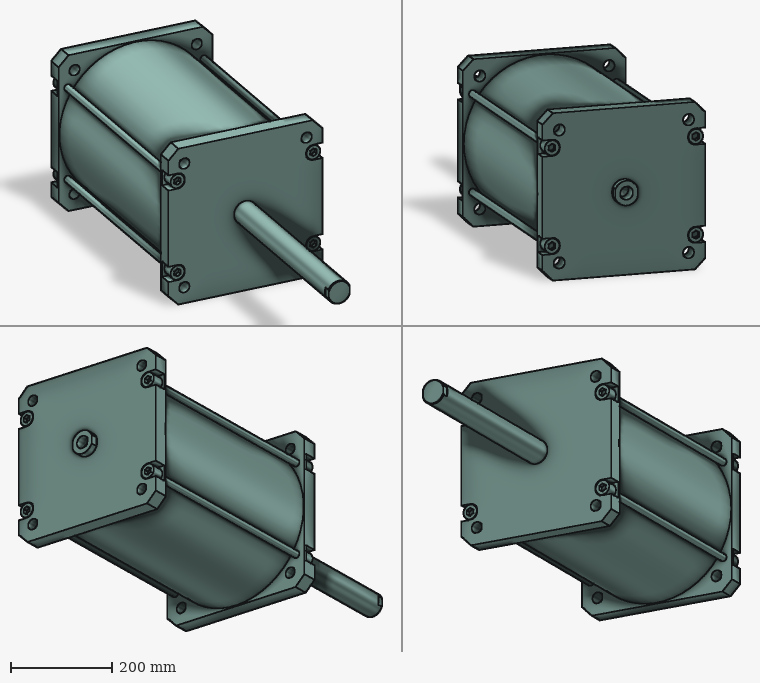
import cadquery as cq
import math

TOTAL_LENGTH = 950.0

PLATE_SIZE = 340.0
PLATE_THICKNESS = 33.0
PLATE_CHAMFER = 22.0
REAR_PLATE_X = 16.0

BARREL_LENGTH = 452.0
BARREL_RADIUS = 168.0

MOUNT_HOLE_DIAMETER = 23.0
MOUNT_HOLE_OFFSET = 135.0

TIE_ROD_Y = 150.0
TIE_ROD_Z = 100.0
TIE_ROD_DIAMETER = 15.0
HEAD_DIAMETER = 30.0
POCKET_WIDTH = 33.0
POCKET_FLOOR = 6.0
SOCKET_FLATS = 14.0
SOCKET_DEPTH = 9.5

ROD_DIAMETER = 50.0
ROD_TIP_CHAMFER = 1.4
FLAT_SPACING = 47.0
FLAT_LENGTH = 14.0
ROD_HOLE_DIAMETER = 27.0
ROD_HOLE_DEPTH = 28.5
DRILL_POINT_ANGLE = 118.0

REAR_PLATE_INNER_X = REAR_PLATE_X + PLATE_THICKNESS
FRONT_PLATE_INNER_X = REAR_PLATE_INNER_X + BARREL_LENGTH
FRONT_PLATE_X = FRONT_PLATE_INNER_X + PLATE_THICKNESS
POCKET_DEPTH = PLATE_THICKNESS - POCKET_FLOOR
MID_X = (REAR_PLATE_X + FRONT_PLATE_X) / 2
TIE_ROD_POSITIONS = [(y, z) for y in (-TIE_ROD_Y, TIE_ROD_Y) for z in (-TIE_ROD_Z, TIE_ROD_Z)]
MOUNT_HOLE_POSITIONS = [
    (y, z)
    for y in (-MOUNT_HOLE_OFFSET, MOUNT_HOLE_OFFSET)
    for z in (-MOUNT_HOLE_OFFSET, MOUNT_HOLE_OFFSET)
]


def section_at(x):
    """Workplane across the axis at x; its local axes are Y and Z."""
    return cq.Workplane("YZ", origin=(x, 0, 0))


def mirror_to_front(body):
    """Mirror a rear-end shape about the middle of the plates."""
    return body.mirror("YZ", (MID_X, 0, 0))


def make_head_pocket(y, z):
    """Round-ended slot that opens at the rear face and at the nearer Y side."""
    side_y = math.copysign(PLATE_SIZE / 2, y)
    round_end = section_at(REAR_PLATE_X).center(y, z).circle(POCKET_WIDTH / 2).extrude(POCKET_DEPTH)
    opening = (
        section_at(REAR_PLATE_X)
        .center((y + side_y) / 2, z)
        .rect(abs(side_y - y), POCKET_WIDTH)
        .extrude(POCKET_DEPTH)
    )
    return round_end.union(opening)


def make_rear_plate():
    """Square plate with chamfered corners, through holes and tie rod head pockets."""
    plate = (
        section_at(REAR_PLATE_X)
        .rect(PLATE_SIZE, PLATE_SIZE)
        .extrude(PLATE_THICKNESS)
        .edges("|X")
        .chamfer(PLATE_CHAMFER)
    )
    plate = plate.cut(section_at(REAR_PLATE_X).circle(ROD_DIAMETER / 2).extrude(PLATE_THICKNESS))
    mount_holes = (
        section_at(REAR_PLATE_X)
        .pushPoints(MOUNT_HOLE_POSITIONS)
        .circle(MOUNT_HOLE_DIAMETER / 2)
        .extrude(PLATE_THICKNESS)
    )
    tie_rod_holes = (
        section_at(REAR_PLATE_X)
        .pushPoints(TIE_ROD_POSITIONS)
        .circle(TIE_ROD_DIAMETER / 2)
        .extrude(PLATE_THICKNESS)
    )
    plate = plate.cut(mount_holes).cut(tie_rod_holes)
    for y, z in TIE_ROD_POSITIONS:
        plate = plate.cut(make_head_pocket(y, z))
    return plate


def make_barrel():
    """Round barrel bored to fit the piston rod."""
    return (
        section_at(REAR_PLATE_INNER_X)
        .circle(BARREL_RADIUS)
        .circle(ROD_DIAMETER / 2)
        .extrude(BARREL_LENGTH)
    )


def make_tie_rod(y, z):
    """Rod with a socketed round head in the pocket of each plate."""
    shank = (
        section_at(REAR_PLATE_X)
        .center(y, z)
        .circle(TIE_ROD_DIAMETER / 2)
        .extrude(FRONT_PLATE_X - REAR_PLATE_X)
    )
    head = section_at(REAR_PLATE_X).center(y, z).circle(HEAD_DIAMETER / 2).extrude(POCKET_DEPTH)
    socket = (
        section_at(REAR_PLATE_X)
        .center(y, z)
        .polygon(6, SOCKET_FLATS, circumscribed=True)
        .extrude(SOCKET_DEPTH)
    )
    return shank.union(head).union(mirror_to_front(head)).cut(socket).cut(mirror_to_front(socket))


def make_piston_rod():
    """Rod through both plates, with wrench flats at each end and a drilled rear end."""
    rod = section_at(0).circle(ROD_DIAMETER / 2).extrude(TOTAL_LENGTH)
    rod = rod.faces(">X").chamfer(ROD_TIP_CHAMFER)

    flat_cut = (ROD_DIAMETER - FLAT_SPACING) / 2
    flat_y = (FLAT_SPACING + flat_cut) / 2
    for start_x in (0, TOTAL_LENGTH - FLAT_LENGTH):
        flats = (
            section_at(start_x)
            .pushPoints([(-flat_y, 0), (flat_y, 0)])
            .rect(flat_cut, ROD_DIAMETER)
            .extrude(FLAT_LENGTH)
        )
        rod = rod.cut(flats)

    hole_radius = ROD_HOLE_DIAMETER / 2
    point_depth = hole_radius / math.tan(math.radians(DRILL_POINT_ANGLE / 2))
    drilled_hole = (
        cq.Workplane("XY")
        .polyline([
            (0, 0),
            (0, hole_radius),
            (ROD_HOLE_DEPTH, hole_radius),
            (ROD_HOLE_DEPTH + point_depth, 0),
        ])
        .close()
        .revolve(360, (0, 0, 0), (1, 0, 0))
    )
    return rod.cut(drilled_hole)


rear_plate = make_rear_plate()
front_plate = mirror_to_front(rear_plate)
barrel = make_barrel()
tie_rods = [make_tie_rod(y, z) for y, z in TIE_ROD_POSITIONS]
piston_rod = make_piston_rod()

result = cq.Compound.makeCompound([
    rear_plate.val(),
    front_plate.val(),
    barrel.val(),
    *[tie_rod.val() for tie_rod in tie_rods],
    piston_rod.val(),
])